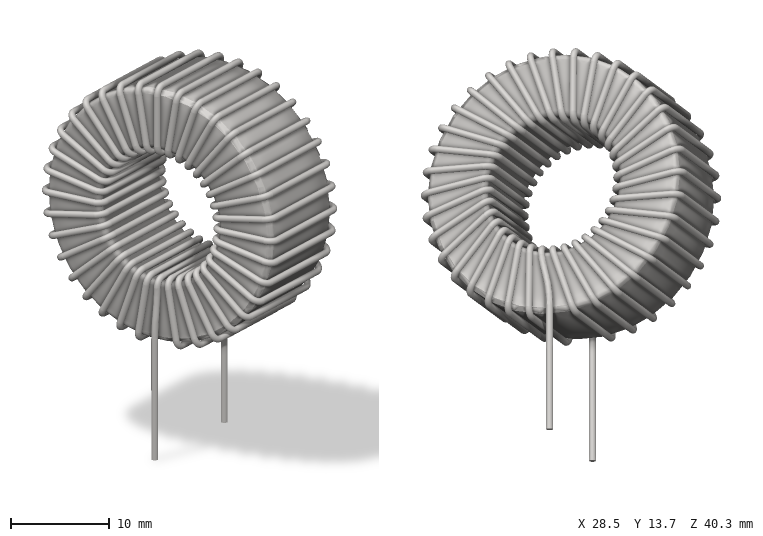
import cadquery as cq
import math


core_outer_radius = 27.1 / 2
core_bore_radius = 14.3 / 2
core_width = 11.3
core_edge_radius = 0.5

wire_radius = 0.7 / 2
winding_gap = 0.01
turns = 36
turn_angle = 360 / turns
start_angle = -90

wire_offset = wire_radius + winding_gap
bend_radius = core_edge_radius + wire_offset
outer_wire_radius = core_outer_radius + wire_offset
inner_wire_radius = core_bore_radius - wire_offset
face_y = core_width / 2 + wire_offset

lead_spacing = 13.0
lead_knee_z = bend_radius - outer_wire_radius
lead_end_z = -26.05


def make_core():
    ring = (
        cq.Workplane("XZ", origin=(0, core_width / 2, 0))
        .circle(core_outer_radius)
        .circle(core_bore_radius)
        .extrude(core_width)
    )
    return ring.edges("%CIRCLE").fillet(core_edge_radius)


def ring_point(radius, angle, y):
    """Point at a given radius and angle (degrees from +X toward +Z) around the core axis."""
    a = math.radians(angle)
    return cq.Vector(radius * math.cos(a), y, radius * math.sin(a))


def winding_corners():
    """Sharp corners of the wound wire axis, with one point beyond each end to aim the leads."""
    corners = [ring_point(outer_wire_radius, start_angle, -face_y)]
    for turn in range(turns):
        angle = start_angle - turn * turn_angle
        corners.append(ring_point(inner_wire_radius, angle, -face_y))
        corners.append(ring_point(inner_wire_radius, angle, face_y))
        next_angle = angle - turn_angle
        corners.append(ring_point(outer_wire_radius, next_angle, face_y))
        if turn < turns - 1:
            corners.append(ring_point(outer_wire_radius, next_angle, -face_y))
    return corners


def wound_edges(corners):
    """Arcs at the right-angled inner corners, joined by straight runs."""
    edges = []
    for before, corner, after in zip(corners, corners[1:], corners[2:]):
        to_before = (before - corner).normalized() * bend_radius
        to_after = (after - corner).normalized() * bend_radius
        arc_start = corner + to_before
        arc_middle = corner + (to_before + to_after) * (1 - math.cos(math.radians(45)))
        arc_end = corner + to_after
        if edges:
            edges.append(cq.Edge.makeLine(edges[-1].endPoint(), arc_start))
        edges.append(cq.Edge.makeThreePointArc(arc_start, arc_middle, arc_end))
    return edges


def lead_edges(start, direction, y):
    """S-curve from the winding's end to a knee at the given Y, then a straight drop."""
    down = cq.Vector(0, 0, -1)
    knee = cq.Vector(0, y, lead_knee_z)
    tip = cq.Vector(0, y, lead_end_z)
    s_curve = cq.Edge.makeSpline([start, knee], tangents=[direction, down])
    return [s_curve, cq.Edge.makeLine(knee, tip)]


def make_winding():
    wound = wound_edges(winding_corners())
    front_lead = lead_edges(wound[0].startPoint(), wound[0].tangentAt(0) * -1, -lead_spacing / 2)
    back_lead = lead_edges(wound[-1].endPoint(), wound[-1].tangentAt(1), lead_spacing / 2)
    path = cq.Wire.assembleEdges(front_lead[::-1] + wound + back_lead)
    front_tip = cq.Vector(0, -lead_spacing / 2, lead_end_z)
    section = cq.Workplane(cq.Plane(origin=front_tip, xDir=(1, 0, 0), normal=(0, 0, 1)))
    return section.circle(wire_radius).sweep(path)


core = make_core()
winding = make_winding()

result = cq.Compound.makeCompound([core.val(), winding.val()])